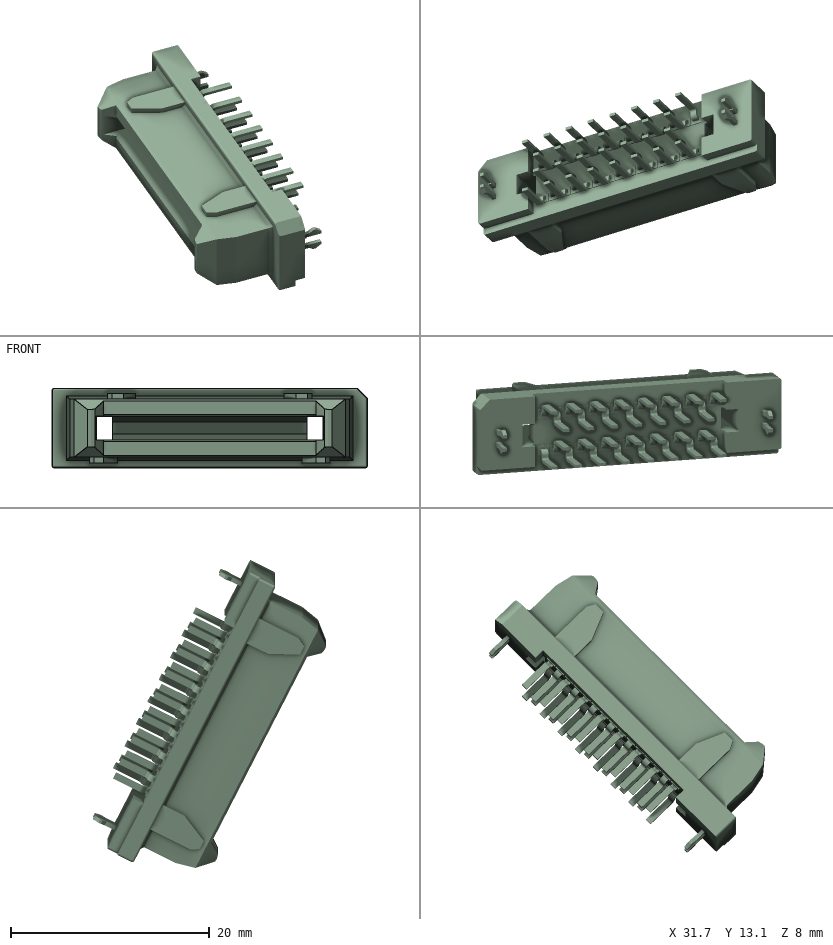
import cadquery as cq

flange_length = 31.7
flange_height = 8.0
flange_depth = 2.9
flange_edge_radius = 0.22
flange_key_chamfer = 1.0
rear_step_depth = 1.08
rear_step_height = 0.7
pin_notch_length = 20.13
notch_floor_y = flange_depth - rear_step_depth

shroud_half_length = 14.07
shroud_half_height = 2.92
shroud_taper_y = -3.9
nose_start_y = -5.85
nose_half_length = 13.63
nose_tip_y = -7.45
nose_tip_half_height = 1.87
tip_outer_x = 12.3
tip_inner_x = 11.92
tip_facet_x = 11.55
tip_facet_depth = 0.1
mouth_half_length = 10.68
mouth_y = -6.15
root_chamfer = 0.32

cavity_half_length = 11.4
cavity_half_height = 1.17
slot_half_length = 9.8
slot_floor_half_height = 0.6
mouth_chamfer = 0.2

rib_half_height = 3.5
rib_width = 2.8
rib_length = 5.33
rib_side_length = 2.47
rib_corner_length = 4.5
rib_corner_inset = 0.45
upper_rib_x = 10.27
upper_rib_tip_inset = 1.6
lower_rib_x = 12.08
lower_rib_tip_inset = 1.4

pin_columns = 15
pin_pitch = 1.27
pin_width = 0.65
pin_thickness = 0.32
pin_row_z = 1.9
pin_crank_height = 0.95
pin_crank_radius = 0.38
pin_crank_y = 2.0
pin_end_y = 5.65
root_embed_depth = 0.32

pad_width = 1.15
pad_height = 0.95
pad_rise = 0.1

post_x = 13.98
post_thickness = 0.4
post_end_y = 5.4
post_inner_z = 0.4
post_relief = 0.1
post_relief_y = 3.77
post_outer_z = 0.92
post_lead_in = 0.15
post_lead_in_drop = 0.05
barb_z = 1.2
barb_start_y = 4.05
barb_peak_start_y = 4.5
barb_peak_end_y = 4.8


def flange_plate(bottom_z, start_y, end_y):
    """Plate from start_y to end_y, with rounded edges but for the keyed corner."""
    half_length = flange_length / 2
    top_z = flange_height / 2
    mid_y = (start_y + end_y) / 2
    plate = (
        cq.Workplane("XY")
        .box(flange_length, end_y - start_y, top_z - bottom_z, centered=(True, True, False))
        .translate((0, mid_y, bottom_z))
    )
    for x, z in [(-half_length, top_z), (-half_length, bottom_z), (half_length, bottom_z)]:
        corner = cq.selectors.NearestToPointSelector((x, mid_y, z))
        plate = plate.edges(corner).fillet(flange_edge_radius)
    return plate


def make_flange():
    bottom_z = -flange_height / 2
    front_plate = flange_plate(bottom_z, 0, notch_floor_y)
    front_plate = front_plate.faces("<Y").edges().fillet(flange_edge_radius)
    rear_plate = flange_plate(bottom_z + rear_step_height, notch_floor_y, flange_depth)
    pin_notch = (
        cq.Workplane("XY")
        .box(pin_notch_length, rear_step_depth, flange_height, centered=(True, False, True))
        .translate((0, notch_floor_y, 0))
    )
    half_length = flange_length / 2
    top_z = flange_height / 2
    key_corner = (
        cq.Workplane("XZ")
        .polyline([
            (half_length, top_z),
            (half_length - flange_key_chamfer, top_z),
            (half_length, top_z - flange_key_chamfer),
        ])
        .close()
        .extrude(-flange_depth)
    )
    return front_plate.union(rear_plate).cut(pin_notch).cut(key_corner)


def make_shroud():
    """Plan outline with two pointed horns, trimmed by the sloping nose."""
    half_plan = [
        (shroud_half_length, 0),
        (shroud_half_length, shroud_taper_y),
        (nose_half_length, nose_start_y),
        (tip_outer_x, nose_tip_y),
        (tip_inner_x, nose_tip_y),
        (tip_facet_x, nose_tip_y + tip_facet_depth),
        (mouth_half_length, mouth_y),
    ]
    plan = half_plan + [(-x, y) for x, y in reversed(half_plan)]
    body = cq.Workplane("XY").polyline(plan).close().extrude(shroud_half_height, both=True)

    half_profile = [
        (0, shroud_half_height),
        (nose_start_y, shroud_half_height),
        (nose_tip_y, nose_tip_half_height),
    ]
    profile = half_profile + [(y, -z) for y, z in reversed(half_profile)]
    nose = cq.Workplane("YZ").polyline(profile).close().extrude(shroud_half_length, both=True)
    return body.intersect(nose)


def make_root_flare():
    """Sloping collar where the shroud meets the flange."""
    return (
        cq.Workplane("XZ")
        .rect(2 * (shroud_half_length + root_chamfer), 2 * (shroud_half_height + root_chamfer))
        .workplane(offset=root_chamfer)
        .rect(2 * shroud_half_length, 2 * shroud_half_height)
        .loft()
    )


def make_cavity():
    bevel_depth = cavity_half_height - slot_floor_half_height
    half_slot = [
        (0, slot_floor_half_height),
        (-bevel_depth, cavity_half_height),
        (nose_tip_y, cavity_half_height),
    ]
    slot_profile = half_slot + [(y, -z) for y, z in reversed(half_slot)]
    cavity = cq.Workplane("YZ").polyline(slot_profile).close().extrude(cavity_half_length, both=True)

    window_length = cavity_half_length - slot_half_length
    window_depth = flange_depth - nose_tip_y
    for side in (-1, 1):
        window = cq.Workplane("XY").box(window_length, window_depth, 2 * cavity_half_height)
        window_x = side * (cavity_half_length + slot_half_length) / 2
        cavity = cavity.union(window.translate((window_x, (flange_depth + nose_tip_y) / 2, 0)))

    half_mouth = [
        (mouth_y + mouth_chamfer, cavity_half_height),
        (mouth_y, cavity_half_height + mouth_chamfer),
    ]
    mouth_profile = half_mouth + [(y, -z) for y, z in reversed(half_mouth)]
    mouth = cq.Workplane("YZ").polyline(mouth_profile).close().extrude(mouth_half_length, both=True)
    return cavity.union(mouth)


def make_rib(outer_x, tip_inset, height_sign):
    """Rib on the +X half, with its straight outer side at outer_x."""
    inner_x = outer_x - rib_width
    outline = [
        (outer_x, 0),
        (outer_x, -rib_corner_length),
        (outer_x - rib_corner_inset, -rib_length),
        (outer_x - tip_inset, -rib_length),
        (inner_x, -rib_side_length),
        (inner_x, 0),
    ]
    return cq.Workplane("XY").polyline(outline).close().extrude(height_sign * rib_half_height)


def make_ribs():
    upper_rib = make_rib(upper_rib_x, upper_rib_tip_inset, 1)
    lower_rib = make_rib(lower_rib_x, lower_rib_tip_inset, -1)
    ribs = upper_rib.union(lower_rib)
    return ribs.union(ribs.mirror("YZ"))


def make_pin(crank_sign):
    """Pin of the upper row, cranked up (+1) or down (-1) by two quarter bends."""
    start_y = notch_floor_y - root_embed_depth
    end_z = pin_row_z + crank_sign * pin_crank_height
    mid_y = pin_crank_y + pin_crank_radius
    bend = -crank_sign * pin_crank_radius
    path = (
        cq.Workplane("YZ")
        .moveTo(start_y, pin_row_z)
        .lineTo(pin_crank_y, pin_row_z)
        .radiusArc((mid_y, pin_row_z - bend), bend)
        .lineTo(mid_y, end_z + bend)
        .radiusArc((mid_y + pin_crank_radius, end_z), -bend)
        .lineTo(pin_end_y, end_z)
    )
    section = cq.Workplane("XZ", origin=(0, start_y, pin_row_z)).rect(pin_width, pin_thickness)
    return section.sweep(path)


def make_pins():
    """Pins alternate between outward and inward cranks along the rows."""
    pad = (
        cq.Workplane("XY")
        .box(pad_width, root_embed_depth + pad_rise, pad_height, centered=(True, False, True))
        .translate((0, notch_floor_y - root_embed_depth, pin_row_z))
    )
    outward_pin = make_pin(1).union(pad)
    inward_pin = make_pin(-1).union(pad)
    upper_row = cq.Workplane("XY")
    for column in range(pin_columns):
        pin = outward_pin if column % 2 == 0 else inward_pin
        x = (column - (pin_columns - 1) / 2) * pin_pitch
        upper_row = upper_row.add(pin.translate((x, 0, 0)))
    return upper_row.add(upper_row.mirror("XY").vals())


def make_posts():
    """Barbed prong pairs behind both ends of the flange."""
    start_y = flange_depth - root_embed_depth
    prong = [
        (start_y, post_inner_z),
        (post_relief_y, post_inner_z),
        (post_relief_y, post_inner_z + post_relief),
        (post_end_y, post_inner_z + post_relief),
        (post_end_y, post_outer_z - post_lead_in_drop),
        (post_end_y - post_lead_in, post_outer_z),
        (barb_peak_end_y, barb_z),
        (barb_peak_start_y, barb_z),
        (barb_start_y, post_outer_z),
        (start_y, post_outer_z),
    ]
    upper = cq.Workplane("YZ").polyline(prong).close().extrude(post_thickness / 2, both=True)
    pair = upper.add(upper.mirror("XY").vals())
    right_posts = pair.translate((post_x, 0, 0))
    return right_posts.add(pair.translate((-post_x, 0, 0)).vals())


def join(body, parts):
    for part in parts.vals():
        body = body.union(cq.Workplane(part))
    return body


housing = make_flange().union(make_shroud()).union(make_root_flare()).union(make_ribs())
housing = housing.cut(make_cavity())
result = join(join(housing, make_pins()), make_posts())